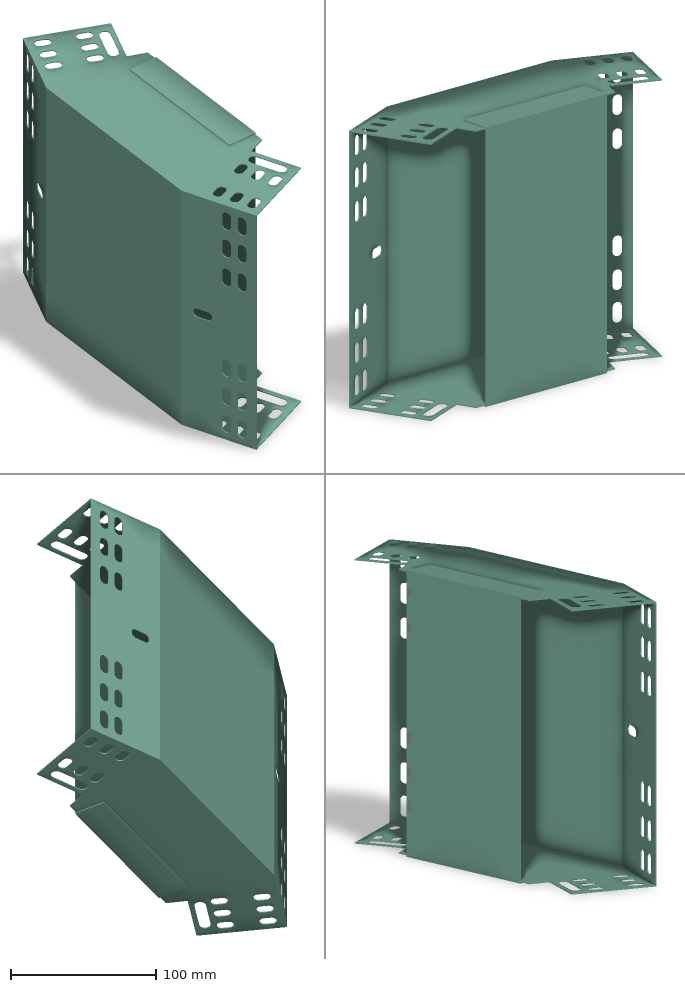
import cadquery as cq
import math

LENGTH = 260.0
HEIGHT = 203.3
DEPTH = 81.0
SHEET = 0.8

BEND_ANGLE = 22.5
BEND_X = 75.5
REAR_LIP_X = 63.7
REAR_LIP_Y = 80.0
WING_REAR_LENGTH = 39.5

SIDE_SLOT_ALONG = 8.5
SIDE_SLOT_PITCH = 13.5
SIDE_SLOT_COUNT = 3
SIDE_SLOT_BACKS = (12.0, 41.9)
SIDE_SLOT_LENGTH = 12.0
SIDE_SLOT_WIDTH = 7.0
LONG_SLOT_BACK = 55.6
LONG_SLOT_LENGTH = 29.6
LONG_SLOT_WIDTH = 8.0

FRONT_SLOT_ALONGS = (11.5, 23.7)
FRONT_SLOT_LEVELS = (39.0, 63.7, 87.4)
FRONT_SLOT_LENGTH = 15.0
FRONT_SLOT_WIDTH = 7.0
CENTER_SLOT_ALONG = 42.5
CENTER_SLOT_LENGTH = 15.0
CENTER_SLOT_WIDTH = 7.3

COVER_LENGTH = 111.0
COVER_FLANGE = 23.1

TRAY_HEIGHT = HEIGHT - 2 * SHEET
COS_BEND = math.cos(math.radians(BEND_ANGLE))
SIN_BEND = math.sin(math.radians(BEND_ANGLE))
TIP_X = LENGTH / 2
TIP_Y = (TIP_X - BEND_X) * SIN_BEND / COS_BEND
WING_DEPTH = (DEPTH - TIP_Y) / COS_BEND


def wing_point(along, back):
    """XY of a point on the +X wing, given in the wing's own directions."""
    x = TIP_X - along * COS_BEND - back * SIN_BEND
    y = TIP_Y - along * SIN_BEND + back * COS_BEND
    return (x, y)


def mirrored_outline(right_half):
    """Closed outline from its +X half, listed from the front to the rear."""
    left_half = [(-x, y) for x, y in reversed(right_half)]
    return cq.Workplane("XY").polyline(right_half + left_half).close()


def side_plates():
    """Top and bottom plates with the full outline, notched behind the bends."""
    right_half = [
        (BEND_X, 0),
        (TIP_X, TIP_Y),
        wing_point(0, WING_DEPTH),
        wing_point(WING_REAR_LENGTH, WING_DEPTH),
        (REAR_LIP_X, REAR_LIP_Y),
    ]
    plate = mirrored_outline(right_half).extrude(SHEET)
    top = plate.translate((0, 0, TRAY_HEIGHT / 2 - SHEET))
    bottom = plate.translate((0, 0, -TRAY_HEIGHT / 2))
    return top, bottom


def front_wall():
    """Middle panel and both wings as one bent sheet of constant thickness."""
    inner_bend_x = BEND_X - SHEET * math.tan(math.radians(BEND_ANGLE / 2))
    right_half = [(BEND_X, 0), (TIP_X, TIP_Y), wing_point(0, SHEET), (inner_bend_x, SHEET)]
    wall = mirrored_outline(right_half).extrude(TRAY_HEIGHT)
    return wall.translate((0, 0, -TRAY_HEIGHT / 2))


def side_slot_cutter(along, back, length, width, turn):
    """Slot through both side plates of the +X wing, turned from the wing's long direction."""
    cutter = cq.Workplane("XY").slot2D(length, width, BEND_ANGLE + turn).extrude(HEIGHT / 2, both=True)
    x, y = wing_point(along, back)
    return cutter.translate((x, y, 0))


def front_slot_cutter(along, z, length, width, turn):
    """Slot square through the front wall of the +X wing."""
    cutter = cq.Workplane("XZ").slot2D(length, width, turn).extrude(2 * SHEET, both=True)
    x, y = wing_point(along, SHEET / 2)
    return cutter.rotate((0, 0, 0), (0, 0, 1), BEND_ANGLE).translate((x, y, z))


def wing_cutters():
    """All slot cutters of the +X wing."""
    alongs = [SIDE_SLOT_ALONG + i * SIDE_SLOT_PITCH for i in range(SIDE_SLOT_COUNT)]
    middle_along = alongs[SIDE_SLOT_COUNT // 2]
    cutters = [
        side_slot_cutter(middle_along, LONG_SLOT_BACK, LONG_SLOT_LENGTH, LONG_SLOT_WIDTH, 0),
        front_slot_cutter(CENTER_SLOT_ALONG, 0, CENTER_SLOT_LENGTH, CENTER_SLOT_WIDTH, 0),
    ]
    for along in alongs:
        for back in SIDE_SLOT_BACKS:
            cutters.append(side_slot_cutter(along, back, SIDE_SLOT_LENGTH, SIDE_SLOT_WIDTH, 90))
    for along in FRONT_SLOT_ALONGS:
        for level in FRONT_SLOT_LEVELS:
            for z in (-level, level):
                cutters.append(front_slot_cutter(along, z, FRONT_SLOT_LENGTH, FRONT_SLOT_WIDTH, 90))
    return cutters


def make_tray():
    """Bent tray with slotted wings, open at the rear and at both ends."""
    tray = front_wall()
    for plate in side_plates():
        tray = tray.union(plate)
    for cutter in wing_cutters():
        tray = tray.cut(cutter).cut(cutter.mirror("YZ"))
    return tray


def make_cover():
    """Channel whose web closes the rear and whose flanges lie on the side plates."""
    rear_y = REAR_LIP_Y + SHEET
    block = cq.Workplane("XY").box(COVER_LENGTH, COVER_FLANGE, HEIGHT, centered=(True, False, True))
    inside = cq.Workplane("XY").box(COVER_LENGTH, COVER_FLANGE, TRAY_HEIGHT, centered=(True, False, True))
    channel = block.cut(inside.translate((0, -SHEET, 0)))
    return channel.translate((0, rear_y - COVER_FLANGE, 0))


tray = make_tray()
cover = make_cover()

result = cq.Compound.makeCompound([tray.solids().val(), cover.solids().val()])